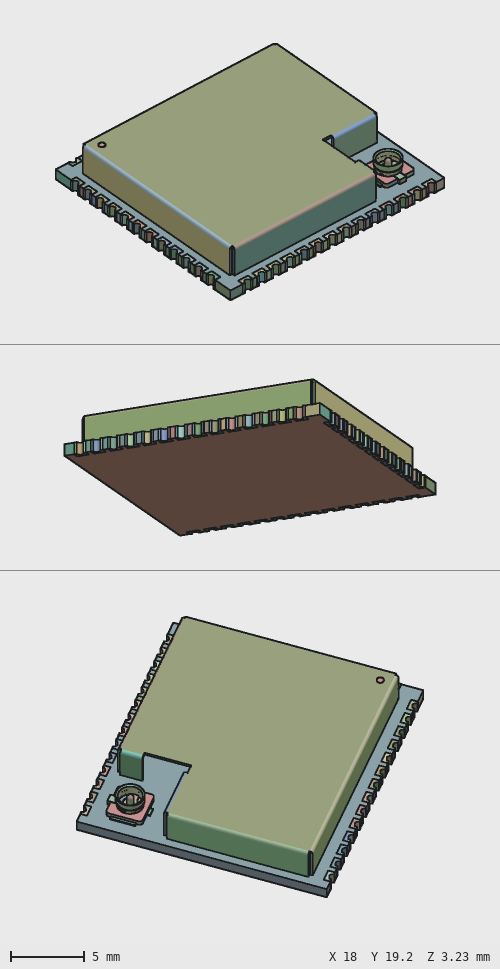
import cadquery as cq
import math

OVERALL_X = 18.02
OVERALL_Y = 19.21
OVERALL_Z = 3.23

FOIL = 0.01
PAD_PITCH = 1.27
PAD_WIDTH = 0.88
PAD_DEPTH = 0.48
NOTCH_DIAMETER = 0.5
SIDE_PAD_COUNT = 14
FRONT_PAD_COUNT = 12
SIDE_PAD_CENTRE_Y = 0.2

BOARD_LEFT = -OVERALL_X / 2 + FOIL
BOARD_RIGHT = OVERALL_X / 2 - FOIL
BOARD_FRONT = -OVERALL_Y / 2 + FOIL
BOARD_BACK = OVERALL_Y / 2
BOARD_TOP = 0.85

SHEET = 0.2
BEND_RADIUS = 0.23
CAN_LEFT = -7.68
CAN_RIGHT = 7.91
CAN_FRONT = -8.51
CAN_BACK = 8.99
ROOF_LEFT = CAN_LEFT + BEND_RADIUS
ROOF_RIGHT = CAN_RIGHT - BEND_RADIUS
ROOF_FRONT = CAN_FRONT + BEND_RADIUS
ROOF_BACK = CAN_BACK - BEND_RADIUS

CUTOUT_WALL_X = 3.04
CUTOUT_WALL_Y = 4.63
CUTOUT_ROOF_X = CUTOUT_WALL_X - BEND_RADIUS
CUTOUT_ROOF_Y = CUTOUT_WALL_Y - BEND_RADIUS
RELIEF_X = 2.73
RELIEF_Y = 4.17
CUTOUT_SIDE_WALL_END = 4.88
CUTOUT_BACK_WALL_START = 6.07

MARK_X = -6.67
MARK_Y = -7.47
MARK_DIAMETER = 0.5
MARK_DEPTH = 0.04

CONNECTOR_X = 6.03
CONNECTOR_Y = 7.15
BASE_SIDE = 2.61
BASE_CORNER_RADIUS = 0.25
BASE_HEIGHT = 0.35
GROUND_TAB_WIDTH = 1.82
GROUND_TAB_SPAN = 3.02
TAB_HEIGHT = 0.1
SIGNAL_TAB_WIDTH = 0.6
SIDE_TAB_REACH = 1.54
SIGNAL_TAB_HEIGHT = 0.38
RING_DIAMETER = 2.0
NECK_DIAMETER = 1.86
BORE_DIAMETER = 1.7
MOUTH_DIAMETER = 1.95
MOUTH_DEPTH = 0.1
RING_BOTTOM = 0.73
RING_TOP = 1.25
INSULATOR_WIDTH = 0.71
INSULATOR_DIAMETER = 1.04
INSULATOR_TOP = 0.42
PIN_DIAMETER = 0.5
PIN_TOP = 1.2


def block(x_min, x_max, y_min, y_max, z_min, z_max):
    return cq.Workplane("XY").box(
        x_max - x_min, y_max - y_min, z_max - z_min, centered=False
    ).translate((x_min, y_min, z_min))


def disc(x, y, diameter, z_min, z_max):
    return cq.Workplane("XY", origin=(x, y, z_min)).circle(diameter / 2).extrude(z_max - z_min)


def row_offsets(count):
    return [(i - (count - 1) / 2) * PAD_PITCH for i in range(count)]


def make_board():
    board = block(BOARD_LEFT, BOARD_RIGHT, BOARD_FRONT, BOARD_BACK, FOIL, BOARD_TOP)
    half = PAD_WIDTH / 2
    foil_top = BOARD_TOP + FOIL
    pads = []
    notches = []
    for offset in row_offsets(SIDE_PAD_COUNT):
        y = SIDE_PAD_CENTRE_Y + offset
        pads.append(block(BOARD_LEFT - FOIL, BOARD_LEFT + PAD_DEPTH, y - half, y + half, 0, foil_top))
        pads.append(block(BOARD_RIGHT - PAD_DEPTH, BOARD_RIGHT + FOIL, y - half, y + half, 0, foil_top))
        notches.append((-OVERALL_X / 2, y))
        notches.append((OVERALL_X / 2, y))
    for x in row_offsets(FRONT_PAD_COUNT):
        pads.append(block(x - half, x + half, BOARD_FRONT - FOIL, BOARD_FRONT + PAD_DEPTH, 0, foil_top))
        notches.append((x, -OVERALL_Y / 2))
    for pad in pads:
        board = board.union(pad)
    cutters = cq.Workplane("XY").pushPoints(notches).circle(NOTCH_DIAMETER / 2).extrude(foil_top)
    return board.cut(cutters)


def make_connector():
    x, y, z = CONNECTOR_X, CONNECTOR_Y, BOARD_TOP
    ring_top = z + RING_TOP
    insulator_top = z + INSULATOR_TOP

    base = (
        cq.Workplane("XY", origin=(x, y, z))
        .rect(BASE_SIDE, BASE_SIDE)
        .extrude(BASE_HEIGHT)
        .edges("|Z")
        .fillet(BASE_CORNER_RADIUS)
    )

    half_ground = GROUND_TAB_WIDTH / 2
    half_span = GROUND_TAB_SPAN / 2
    half_signal = SIGNAL_TAB_WIDTH / 2
    ground_strip = block(x - half_ground, x + half_ground, y - half_span, y + half_span, z, z + TAB_HEIGHT)
    low_tab = block(x - SIDE_TAB_REACH, x, y - half_signal, y + half_signal, z, z + TAB_HEIGHT)
    signal_tab = block(x, x + SIDE_TAB_REACH, y - half_signal, y + half_signal, z, z + SIGNAL_TAB_HEIGHT)

    neck = disc(x, y, NECK_DIAMETER, z, ring_top)
    ring = disc(x, y, RING_DIAMETER, z + RING_BOTTOM, ring_top)
    bore = disc(x, y, BORE_DIAMETER, z + BASE_HEIGHT, ring_top)
    mouth = (
        cq.Workplane("XY", origin=(x, y, ring_top))
        .circle(MOUTH_DIAMETER / 2)
        .workplane(offset=-MOUTH_DEPTH)
        .circle(BORE_DIAMETER / 2)
        .loft()
    )

    half_bar = INSULATOR_WIDTH / 2
    half_bore = BORE_DIAMETER / 2
    bar = block(x - half_bar, x + half_bar, y - half_bore, y + half_bore, z, insulator_top)
    collar = disc(x, y, INSULATOR_DIAMETER, z, insulator_top)
    tip_centre = z + PIN_TOP - PIN_DIAMETER / 2
    shank = disc(x, y, PIN_DIAMETER, z, tip_centre)
    tip = cq.Workplane("XY").sphere(PIN_DIAMETER / 2).translate((x, y, tip_centre))

    body = base.union(ground_strip).union(low_tab).union(signal_tab).union(neck).union(ring)
    body = body.cut(bore).cut(mouth)
    return body.union(bar).union(collar).union(shank).union(tip)


def folded_wall(length):
    """Bend and wall along +X, starting at the origin: Y runs outward from the bend, Z up to the roof."""
    height = OVERALL_Z - BOARD_TOP
    inner = BEND_RADIUS - SHEET
    diagonal = math.sqrt(0.5)
    return (
        cq.Workplane("YZ")
        .moveTo(0, height)
        .threePointArc(
            (BEND_RADIUS * diagonal, height - BEND_RADIUS * (1 - diagonal)),
            (BEND_RADIUS, height - BEND_RADIUS),
        )
        .lineTo(BEND_RADIUS, 0)
        .lineTo(inner, 0)
        .lineTo(inner, height - BEND_RADIUS)
        .threePointArc(
            (inner * diagonal, height - BEND_RADIUS + inner * diagonal),
            (0, height - SHEET),
        )
        .close()
        .extrude(length)
    )


def wall_between(start, end):
    """Folded wall on the roof edge from start to end, with its outside to the left of that direction."""
    dx, dy = end[0] - start[0], end[1] - start[1]
    wall = folded_wall(math.hypot(dx, dy))
    wall = wall.rotate((0, 0, 0), (0, 0, 1), math.degrees(math.atan2(dy, dx)))
    return wall.translate((start[0], start[1], BOARD_TOP))


def make_can():
    can = (
        cq.Workplane("XY", origin=(0, 0, OVERALL_Z - SHEET))
        .polyline([
            (ROOF_LEFT, ROOF_FRONT),
            (ROOF_LEFT, ROOF_BACK),
            (CUTOUT_ROOF_X, ROOF_BACK),
            (CUTOUT_ROOF_X, CUTOUT_SIDE_WALL_END),
            (RELIEF_X, CUTOUT_SIDE_WALL_END),
            (RELIEF_X, RELIEF_Y),
            (CUTOUT_BACK_WALL_START, RELIEF_Y),
            (CUTOUT_BACK_WALL_START, CUTOUT_ROOF_Y),
            (ROOF_RIGHT, CUTOUT_ROOF_Y),
            (ROOF_RIGHT, ROOF_FRONT),
        ])
        .close()
        .extrude(SHEET)
    )
    wall_lines = [
        ((ROOF_LEFT, ROOF_FRONT), (ROOF_LEFT, ROOF_BACK)),
        ((ROOF_LEFT, ROOF_BACK), (RELIEF_X, ROOF_BACK)),
        ((CUTOUT_ROOF_X, ROOF_BACK), (CUTOUT_ROOF_X, CUTOUT_SIDE_WALL_END)),
        ((CUTOUT_BACK_WALL_START, CUTOUT_ROOF_Y), (ROOF_RIGHT, CUTOUT_ROOF_Y)),
        ((ROOF_RIGHT, CUTOUT_ROOF_Y), (ROOF_RIGHT, ROOF_FRONT)),
        ((ROOF_RIGHT, ROOF_FRONT), (ROOF_LEFT, ROOF_FRONT)),
    ]
    for start, end in wall_lines:
        can = can.union(wall_between(start, end))
    return can.cut(disc(MARK_X, MARK_Y, MARK_DIAMETER, OVERALL_Z - MARK_DEPTH, OVERALL_Z))


module = make_board().union(make_connector())
can = make_can()

result = cq.Compound.makeCompound([module.val(), can.val()])